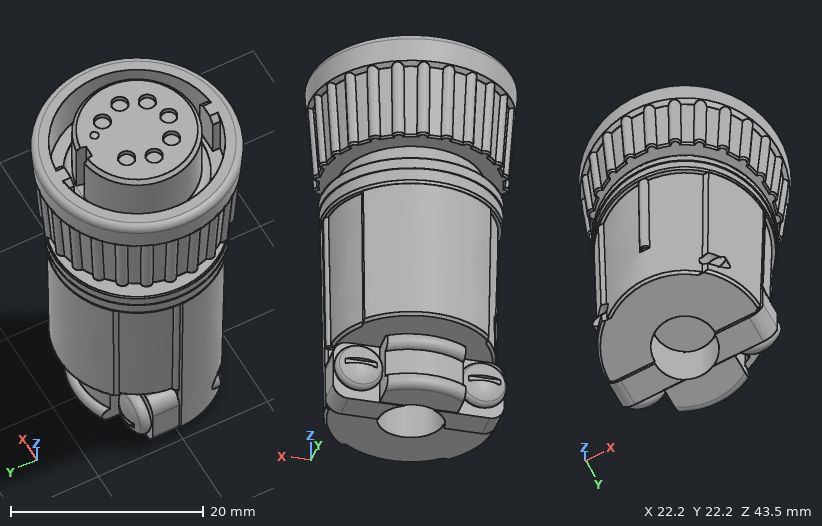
import cadquery as cq
import math

INSERT_TOP = 43.32
RING_TOP = 41.18
RING_FLOOR = 35.7
RIB_TOP = 37.8
RING_BOTTOM = 29.25
COLLAR_TOP = 26.7
COLLAR_STEP = 25.35
COLLAR_BOTTOM = 23.6
BACK_SHELL_BOTTOM = 7.7
FRONT_SHELL_BOTTOM = 0.53

INSERT_RADIUS = 6.77
INSERT_CHAMFER = 0.43
CONTACT_COUNT = 8
CONTACT_PITCH_RADIUS = 3.76
CONTACT_RADIUS = 0.91
CONTACT_DEPTH = 0.6
KEY_POSITION = 2
KEY_FLOOR_Y = 5.68
KEY_HALF_WIDTH_INNER = 0.65
KEY_HALF_WIDTH_OUTER = 0.9
DOT_X = 1.49
DOT_Y = 4.23
DOT_RADIUS = 0.45
DOT_HEIGHT = 0.17

BARREL_RADIUS = 7.71
BARREL_LAND = 0.02
BARREL_ROUND = BARREL_RADIUS - INSERT_RADIUS - BARREL_LAND
BARREL_TOP = RING_FLOOR + BARREL_ROUND
COLLAR_RADIUS = 9.7
COLLAR_LOWER_RADIUS = 9.6
COLLAR_EDGE = 0.15
COLLAR_LOWER_EDGE = 0.35

RING_RADIUS = 11.11
RING_ROUND = 0.8
RING_BAND_BOTTOM_RADIUS = 10.93
RING_BORE_RADIUS = 9.19
RIB_COUNT = 24
RIB_RADIUS = 0.68
RIB_CREST_TOP = 10.85
RIB_CREST_BOTTOM = 10.25
RIB_HEIGHT = 0.45
GRIP_EDGE = 0.2
RIB_FLARE = 0.4
LUG_INNER_Y = 8.22
LUG_HALF_WIDTH = 1.43
LUG_FLAT_HALF_WIDTH = 0.73
LUG_SLOPE = 0.7
LUG_OVERLAP = 0.3

PANEL_RAISE = 0.43
LOW_TOP_RADIUS = 9.06
LOW_BOTTOM_RADIUS = 8.68
STEP_TOP = 6.88
STEP_BOTTOM = 6.6
SHELL_RIB_RADIUS = 0.62
SHELL_RIB_HEIGHT = 0.4
SHELL_RIB_EDGE = 0.15
SHELL_EDGE = 0.3

CLAMP_HEIGHT = 6.82
CLAMP_HALF_WIDTH = 9.24
CLAMP_EAR_Y = 3.15
CLAMP_CORNER = 1.63
CABLE_RADIUS = 3.55
SADDLE_HALF_WIDTH = 4.2
SADDLE_ARCH_RADIUS = 7.8
SADDLE_CREST_Y = 6.65
SADDLE_EDGE_GAP = 0.1
BEAD_RADIUS = 0.89
BEAD_CREST_Y = 7.5
SCREW_X = 6.65
SCREW_Z = 3.46
SCREW_RADIUS = 1.25
SCREW_TIP_Y = -5.67
HEAD_RADIUS = 2.6
HEAD_EDGE_HEIGHT = 1.3
HEAD_EDGE_INSET = 0.32
HEAD_HEIGHT = 2.15
HEAD_SLOT_WIDTH = 0.6
HEAD_SLOT_DEPTH = 0.45

FAR = 2 * RING_RADIUS


def cylinder(radius, bottom, top):
    return cq.Workplane("XY").workplane(offset=bottom).circle(radius).extrude(top - bottom)


def cone(bottom_radius, top_radius, bottom, top):
    return cq.Workplane(cq.Solid.makeCone(bottom_radius, top_radius, top - bottom, pnt=(0, 0, bottom)))


def box(x_range, y_range, z_range):
    size = [high - low for low, high in (x_range, y_range, z_range)]
    corner = (x_range[0], y_range[0], z_range[0])
    return cq.Workplane(cq.Solid.makeBox(*size, pnt=cq.Vector(*corner)))


def insert():
    body = cylinder(INSERT_RADIUS, COLLAR_TOP, INSERT_TOP).faces(">Z").chamfer(INSERT_CHAMFER)
    angle = 360 / CONTACT_COUNT
    for place in range(CONTACT_COUNT):
        if place == KEY_POSITION:
            continue
        hole = cylinder(CONTACT_RADIUS, INSERT_TOP - CONTACT_DEPTH, INSERT_TOP)
        hole = hole.translate((CONTACT_PITCH_RADIUS, 0, 0))
        body = body.cut(hole.rotate((0, 0, 0), (0, 0, 1), place * angle))
    notch = (
        cq.Workplane("XY").workplane(offset=BARREL_TOP)
        .moveTo(-KEY_HALF_WIDTH_INNER, KEY_FLOOR_Y).lineTo(KEY_HALF_WIDTH_INNER, KEY_FLOOR_Y)
        .lineTo(KEY_HALF_WIDTH_OUTER, INSERT_RADIUS).lineTo(-KEY_HALF_WIDTH_OUTER, INSERT_RADIUS)
        .close().extrude(INSERT_TOP - BARREL_TOP)
    )
    body = body.cut(notch)
    sphere_radius = (DOT_RADIUS**2 + DOT_HEIGHT**2) / (2 * DOT_HEIGHT)
    dot = cq.Workplane("XY").sphere(sphere_radius)
    return body.union(dot.translate((DOT_X, DOT_Y, INSERT_TOP + DOT_HEIGHT - sphere_radius)))


def barrel():
    return cylinder(BARREL_RADIUS, COLLAR_BOTTOM, BARREL_TOP).faces(">Z").edges().fillet(BARREL_ROUND)


def collar():
    upper = cylinder(COLLAR_RADIUS, COLLAR_STEP, COLLAR_TOP).faces(">Z").chamfer(COLLAR_EDGE)
    lower = cylinder(COLLAR_LOWER_RADIUS, COLLAR_BOTTOM, COLLAR_STEP)
    lower = lower.faces("<Z").chamfer(COLLAR_LOWER_EDGE, COLLAR_EDGE)
    return upper.union(lower)


def ring_rib():
    """One round grip rib, leaning along the taper of the ring, at angle zero."""
    lean = cq.Vector(RIB_CREST_TOP - RIB_CREST_BOTTOM, 0, RIB_TOP - RING_BOTTOM)
    start = cq.Vector(RIB_CREST_BOTTOM - RIB_RADIUS, 0, RING_BOTTOM)
    overrun = lean.normalized() * (2 * RIB_RADIUS)
    length = (lean + overrun * 2).Length
    rod = cq.Workplane(cq.Solid.makeCylinder(RIB_RADIUS, length, start - overrun, lean))
    return rod.intersect(box((0, FAR), (-FAR, FAR), (RING_BOTTOM, RIB_TOP)))


def ring_lug():
    """Bayonet lug on the +Y side of the ring bore, with sloping upper corners."""
    lug = (
        cq.Workplane("XZ")
        .moveTo(-LUG_HALF_WIDTH, RING_FLOOR).lineTo(LUG_HALF_WIDTH, RING_FLOOR)
        .lineTo(LUG_HALF_WIDTH, RING_TOP - LUG_SLOPE).lineTo(LUG_FLAT_HALF_WIDTH, RING_TOP)
        .lineTo(-LUG_FLAT_HALF_WIDTH, RING_TOP).lineTo(-LUG_HALF_WIDTH, RING_TOP - LUG_SLOPE)
        .close().extrude(-RING_BORE_RADIUS - LUG_OVERLAP)
    )
    return lug.cut(box((-FAR, FAR), (-FAR, LUG_INNER_Y), (RING_FLOOR, RING_TOP)))


def ring_band():
    """Smooth upper band: a slight cone that ends in a quarter-round top edge."""
    shoulder = RING_TOP - RING_ROUND
    flat_radius = RING_RADIUS - RING_ROUND
    diagonal = RING_ROUND * math.sqrt(0.5)
    return (
        cq.Workplane("XZ")
        .moveTo(0, RIB_TOP).lineTo(RING_BAND_BOTTOM_RADIUS, RIB_TOP).lineTo(RING_RADIUS, shoulder)
        .threePointArc((flat_radius + diagonal, shoulder + diagonal), (flat_radius, RING_TOP))
        .lineTo(0, RING_TOP).close().revolve(360, (0, 0, 0), (0, 1, 0))
    )


def coupling_ring():
    band = ring_band()
    root_top = RIB_CREST_TOP - RIB_HEIGHT
    root_bottom = RIB_CREST_BOTTOM - RIB_HEIGHT
    grip = cone(root_bottom, root_top, RING_BOTTOM, RIB_TOP)
    grip = grip.union(cone(root_top, RING_BAND_BOTTOM_RADIUS, RIB_TOP - RIB_FLARE, RIB_TOP))
    rib = ring_rib()
    for index in range(RIB_COUNT):
        angle = (index + 1 / 2) * 360 / RIB_COUNT
        grip = grip.union(rib.rotate((0, 0, 0), (0, 0, 1), angle))
    grip = grip.faces("<Z").edges().chamfer(GRIP_EDGE)
    ring = band.union(grip).cut(cylinder(RING_BORE_RADIUS, RING_FLOOR, RING_TOP))
    for angle in (0, 180):
        ring = ring.union(ring_lug().rotate((0, 0, 0), (0, 0, 1), angle))
    return ring


def shell_cone(raise_by, bottom):
    """Solid tapered shell body from the given height up to the collar."""
    fraction = (bottom - FRONT_SHELL_BOTTOM) / (COLLAR_BOTTOM - FRONT_SHELL_BOTTOM)
    low_radius = LOW_BOTTOM_RADIUS + fraction * (LOW_TOP_RADIUS - LOW_BOTTOM_RADIUS)
    body = cone(low_radius + raise_by, LOW_TOP_RADIUS + raise_by, bottom, COLLAR_BOTTOM)
    return body.faces("<Z").chamfer(SHELL_EDGE)


def shell_rib(angle):
    """Half-round rib down the middle of a low panel, leaning with the shell taper."""
    center_drop = SHELL_RIB_RADIUS - SHELL_RIB_HEIGHT
    height = COLLAR_BOTTOM - FRONT_SHELL_BOTTOM
    start = cq.Vector(LOW_BOTTOM_RADIUS - center_drop, 0, FRONT_SHELL_BOTTOM)
    lean = cq.Vector(LOW_TOP_RADIUS - LOW_BOTTOM_RADIUS, 0, height)
    rib = cq.Workplane(cq.Solid.makeCylinder(SHELL_RIB_RADIUS, lean.Length, start, lean))
    rib = rib.intersect(box((0, FAR), (-FAR, FAR), (BACK_SHELL_BOTTOM, COLLAR_BOTTOM)))
    rib = rib.faces("<Z").chamfer(SHELL_RIB_EDGE)
    return rib.rotate((0, 0, 0), (0, 0, 1), angle)


def panel_wedge(plane):
    """Tapered slab between the two panel steps; it bounds the raised panels."""
    return (
        cq.Workplane(plane)
        .moveTo(-STEP_BOTTOM, FRONT_SHELL_BOTTOM).lineTo(STEP_BOTTOM, FRONT_SHELL_BOTTOM)
        .lineTo(STEP_TOP, COLLAR_BOTTOM).lineTo(-STEP_TOP, COLLAR_BOTTOM)
        .close().extrude(FAR, both=True)
    )


def shell():
    front_half = box((-FAR, FAR), (-FAR, 0), (FRONT_SHELL_BOTTOM, COLLAR_BOTTOM))
    back_half = box((-FAR, FAR), (0, FAR), (BACK_SHELL_BOTTOM, COLLAR_BOTTOM))

    front = shell_cone(PANEL_RAISE, FRONT_SHELL_BOTTOM).intersect(panel_wedge("YZ"))
    front = front.union(shell_cone(0, FRONT_SHELL_BOTTOM)).intersect(front_half)
    front = front.faces(">Y").edges("not #Z").chamfer(SHELL_EDGE)
    front = front.union(shell_rib(-90))

    back = shell_cone(PANEL_RAISE, BACK_SHELL_BOTTOM).intersect(panel_wedge("XZ"))
    back = back.union(shell_cone(0, BACK_SHELL_BOTTOM))
    for angle in (0, 180):
        back = back.union(shell_rib(angle))
    return front.union(back.intersect(back_half))


def screw(x):
    """Clamp screw along Y with a slotted dome head behind the ear and a flat tip in front."""
    flank_radius = HEAD_RADIUS - HEAD_EDGE_INSET
    flank_y = CLAMP_EAR_Y + HEAD_EDGE_HEIGHT
    crown_y = CLAMP_EAR_Y + HEAD_HEIGHT
    crown_rise = crown_y - flank_y
    crown_radius = (flank_radius**2 + crown_rise**2) / (2 * crown_rise)
    middle_radius = flank_radius / 2
    middle_y = crown_y - crown_radius + math.sqrt(crown_radius**2 - middle_radius**2)
    body = (
        cq.Workplane("XY")
        .moveTo(0, SCREW_TIP_Y).lineTo(SCREW_RADIUS, SCREW_TIP_Y).lineTo(SCREW_RADIUS, CLAMP_EAR_Y)
        .lineTo(flank_radius, CLAMP_EAR_Y)
        .threePointArc((HEAD_RADIUS, (CLAMP_EAR_Y + flank_y) / 2), (flank_radius, flank_y))
        .threePointArc((middle_radius, middle_y), (0, crown_y))
        .close().revolve(360, (0, 0, 0), (0, 1, 0))
    )
    half_slot = HEAD_SLOT_WIDTH / 2
    body = body.cut(box((-FAR, FAR), (crown_y - HEAD_SLOT_DEPTH, crown_y), (-half_slot, half_slot)))
    return body.translate((x, 0, SCREW_Z))


def screw_hole(x):
    hole = cq.Solid.makeCylinder(SCREW_RADIUS, FAR, cq.Vector(x, SCREW_TIP_Y, SCREW_Z), cq.Vector(0, -1, 0))
    return cq.Workplane(hole)


def saddle():
    """Arched bridge over the cable, with a round bead along each edge of the arch."""
    arch_y = SADDLE_CREST_Y - SADDLE_ARCH_RADIUS
    bead_arch_radius = BEAD_CREST_Y - BEAD_RADIUS - arch_y
    low = SADDLE_EDGE_GAP
    high = CLAMP_HEIGHT - SADDLE_EDGE_GAP
    body = cylinder(SADDLE_ARCH_RADIUS, low + BEAD_RADIUS, high - BEAD_RADIUS)
    for z in (low + BEAD_RADIUS, high - BEAD_RADIUS):
        body = body.union(cylinder(bead_arch_radius, z - BEAD_RADIUS, z + BEAD_RADIUS))
        bead = cq.Solid.makeTorus(bead_arch_radius, BEAD_RADIUS, cq.Vector(0, 0, z))
        body = body.union(cq.Workplane(bead))
    body = body.translate((0, arch_y, 0))
    return body.intersect(box((-SADDLE_HALF_WIDTH, SADDLE_HALF_WIDTH), (0, FAR), (low, high)))


def clamp():
    ears = box((-CLAMP_HALF_WIDTH, CLAMP_HALF_WIDTH), (0, CLAMP_EAR_Y), (0, CLAMP_HEIGHT))
    return ears.edges("|Y").fillet(CLAMP_CORNER).union(saddle())


result = insert().union(barrel()).union(collar()).union(coupling_ring()).union(shell()).union(clamp())
result = result.cut(cylinder(CABLE_RADIUS, 0, BACK_SHELL_BOTTOM))
for side in (-1, 1):
    result = result.cut(screw_hole(side * SCREW_X)).union(screw(side * SCREW_X))